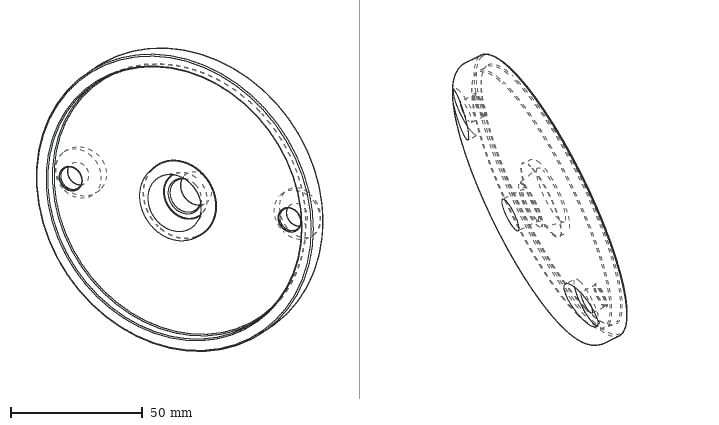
import cadquery as cq
import math

outer_radius = 59.5
total_height = 18.1
cut_overrun = 1.2
rim_chamfer = 0.6

shoulder_start = 7.1
shoulder_radius = 5.0
dome_edge_radius = 55.7

recess_radius = 54.5
recess_depth = 4.8
recess_chamfer = 0.5

boss_radius = 15.5
boss_top = 0.4
boss_fillet = 1.2
boss_foot = 0.2
boss_root = 6.0

bore_mouth_radius = 11.4
bore_floor_radius = 9.4
bore_floor = 9.4
bore_floor_chamfer = 0.2
lip_radius = 7.1
lip_rise = 0.7
center_hole_radius = 6.7

screw_offset = 47.0
screw_hole_radius = 4.5
screw_chamfer = 0.4
counterbore_radius = 9.9
counterbore_floor = 11.1


def revolve_about_y(profile):
    return profile.close().revolve(360, (0, 0, 0), (0, 1, 0))


def cylinder_y(radius, start, end, x=0.0):
    """Cylinder along Y between two heights."""
    base = cq.Workplane("XZ", origin=(x, start, 0))
    return base.circle(radius).extrude(start - end)


def make_body():
    arc_center = outer_radius - shoulder_radius
    end_angle = math.acos((dome_edge_radius - arc_center) / shoulder_radius)
    dome_edge_height = shoulder_start + shoulder_radius * math.sin(end_angle)
    shoulder_middle = (
        arc_center + shoulder_radius * math.cos(end_angle / 2),
        shoulder_start + shoulder_radius * math.sin(end_angle / 2),
    )

    rise = total_height - dome_edge_height
    sphere_radius = (dome_edge_radius**2 + rise**2) / (2 * rise)
    middle_radius = dome_edge_radius / 2
    middle_drop = sphere_radius - math.sqrt(sphere_radius**2 - middle_radius**2)
    dome_middle = (middle_radius, total_height - middle_drop)

    return revolve_about_y(
        cq.Workplane("XY")
        .lineTo(outer_radius - rim_chamfer, 0)
        .lineTo(outer_radius, rim_chamfer)
        .lineTo(outer_radius, shoulder_start)
        .threePointArc(shoulder_middle, (dome_edge_radius, dome_edge_height))
        .threePointArc(dome_middle, (0, total_height))
    )


def make_recess():
    return revolve_about_y(
        cq.Workplane("XY")
        .lineTo(recess_radius + recess_chamfer, 0)
        .lineTo(recess_radius, recess_chamfer)
        .lineTo(recess_radius, recess_depth - recess_chamfer)
        .lineTo(recess_radius - recess_chamfer, recess_depth)
        .lineTo(0, recess_depth)
    )


def make_boss():
    boss = cylinder_y(boss_radius, boss_top, boss_root)
    boss = boss.faces("<Y").edges().fillet(boss_fillet)
    foot = cylinder_y(boss_radius + boss_foot, recess_depth - boss_foot, boss_root)
    return boss.union(foot)


def make_center_opening():
    return revolve_about_y(
        cq.Workplane("XY")
        .moveTo(0, boss_top)
        .lineTo(bore_mouth_radius, boss_top)
        .lineTo(bore_floor_radius, bore_floor - bore_floor_chamfer)
        .lineTo(bore_floor_radius - bore_floor_chamfer, bore_floor)
        .lineTo(lip_radius, bore_floor - lip_rise)
        .lineTo(center_hole_radius, bore_floor)
        .lineTo(center_hole_radius, total_height + cut_overrun)
        .lineTo(0, total_height + cut_overrun)
    )


def make_screw_hole(x):
    hole = cylinder_y(screw_hole_radius, recess_depth, total_height, x)
    mouth_radius = screw_hole_radius + screw_chamfer
    mouth = cylinder_y(mouth_radius, recess_depth, recess_depth + 2 * screw_chamfer, x)
    mouth = mouth.faces(">Y").edges().chamfer(screw_chamfer)
    counterbore = cylinder_y(counterbore_radius, counterbore_floor, total_height, x)
    return hole.union(mouth).union(counterbore)


result = make_body().cut(make_recess()).union(make_boss()).cut(make_center_opening())
for side in (-1, 1):
    result = result.cut(make_screw_hole(side * screw_offset))